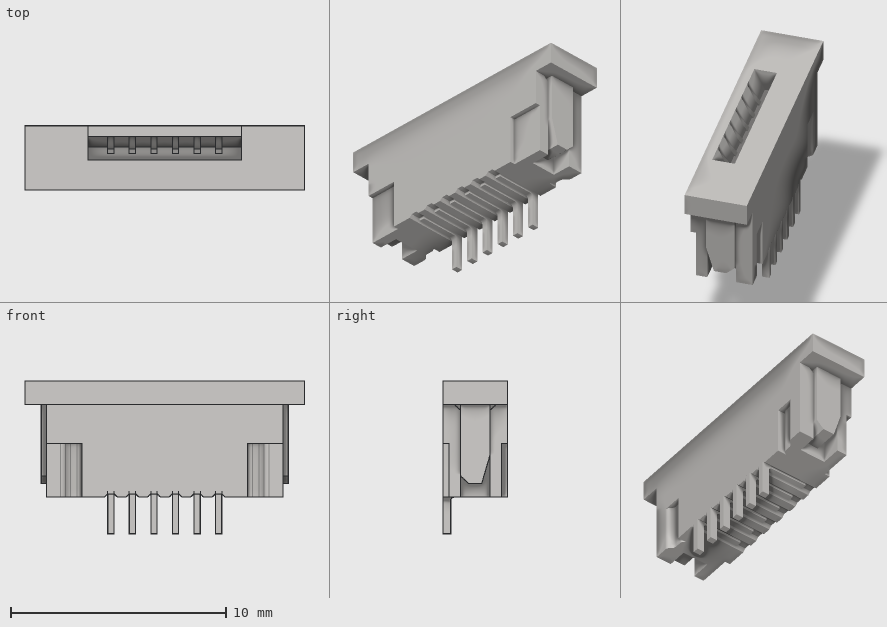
import cadquery as cq
import math


length = 13.0
depth = 3.0
bar_height = 1.1
opening_length = 7.15
opening_front_y = -0.09
arm_outer_x = 5.75
arm_inner_x = 4.5
arm_width = 1.38
arm_tip_z = -4.77
arm_tip_width = 0.6
arm_front_slope_z = -4.41
arm_back_slope_z = -3.43

housing_length = 11.0
housing_bottom_z = -5.4
tongue_front_y = 1.0
tongue_foot_y = 0.5
lead_in = 0.25
lead_in_flare = 0.27
recess_top_z = -2.9
recess_length = 1.66

contact_count = 6
contact_pitch = 1.0
contact_width = 0.3
contact_front_y = 0.21
contact_slope_top_z = -0.42
contact_slope_foot_y = 0.4
tail_bottom_z = -7.1
tail_thickness = 0.36
foot_height = 0.31
bend_inner_radius = 0.17
bend_outer_radius = 0.18
groove_height = 0.14
groove_mouth_width = 0.6

tab_thickness = 0.27
tab_flange_length = 0.66
tab_jog_length = 0.47
tab_end_radius = 0.23

front_y = -depth / 2
back_y = depth / 2
housing_side_x = housing_length / 2
recess_height = recess_top_z - housing_bottom_z
recess_inner_x = housing_side_x - recess_length
contact_xs = [(i - (contact_count - 1) / 2) * contact_pitch for i in range(contact_count)]


def block(x0, x1, y0, y1, z0, z1):
    """Box between two opposite corners."""
    return cq.Workplane("XY").box(x1 - x0, y1 - y0, z1 - z0, centered=False).translate((x0, y0, z0))


def extrude_along_x(outline, x0, x1):
    """Extrude a closed YZ outline from x0 to x1."""
    return outline.extrude(x1 - x0).translate((x0, 0, 0))


def slider_arm():
    """Latch arm of the +X end, with a tapered tip."""
    half_width = arm_width / 2
    half_tip = arm_tip_width / 2
    outline = cq.Workplane("YZ").polyline([
        (-half_width, -bar_height),
        (half_width, -bar_height),
        (half_width, arm_back_slope_z),
        (half_tip, arm_tip_z),
        (-half_tip, arm_tip_z),
        (-half_width, arm_front_slope_z),
    ]).close()
    return extrude_along_x(outline, arm_inner_x, arm_outer_x)


def make_slider():
    """Bar with a cable opening at its back edge and a latch arm under each end."""
    bar = block(-length / 2, length / 2, front_y, back_y, -bar_height, 0)
    opening = block(-opening_length / 2, opening_length / 2, opening_front_y, back_y, -bar_height, 0)
    arm = slider_arm()
    return bar.cut(opening).union(arm).union(arm.mirror("YZ"))


def make_contact(x):
    """Contact blade with a sloping top, a foot along the housing bottom and a bent-down tail."""
    tail_back_y = front_y + tail_thickness
    foot_top_z = housing_bottom_z + foot_height
    diagonal = math.sqrt(0.5)
    inner_bend_y = tail_back_y + bend_inner_radius
    inner_bend_z = housing_bottom_z - bend_inner_radius
    outer_bend_y = front_y + bend_outer_radius
    outer_bend_z = foot_top_z - bend_outer_radius
    outline = (
        cq.Workplane("YZ")
        .moveTo(tongue_front_y, contact_slope_top_z)
        .lineTo(contact_slope_foot_y, -bar_height)
        .lineTo(contact_front_y, -bar_height)
        .lineTo(contact_front_y, foot_top_z)
        .lineTo(outer_bend_y, foot_top_z)
        .threePointArc(
            (outer_bend_y - bend_outer_radius * diagonal, outer_bend_z + bend_outer_radius * diagonal),
            (front_y, outer_bend_z),
        )
        .lineTo(front_y, tail_bottom_z)
        .lineTo(tail_back_y, tail_bottom_z)
        .lineTo(tail_back_y, inner_bend_z)
        .threePointArc(
            (inner_bend_y - bend_inner_radius * diagonal, inner_bend_z + bend_inner_radius * diagonal),
            (inner_bend_y, housing_bottom_z),
        )
        .lineTo(tongue_front_y, housing_bottom_z)
        .close()
    )
    return extrude_along_x(outline, x - contact_width / 2, x + contact_width / 2)


def make_tab():
    """Hold-down tab of the +X end: sheet with an S-shaped jog inward and a rounded inner end."""
    half_jog = (-tab_jog_length / 2, tab_thickness / 2)
    half_jog_back = (tab_jog_length / 2, -tab_thickness / 2)
    jog_x = housing_side_x - tab_flange_length
    round_x = recess_inner_x + tab_end_radius
    inner_front_y = front_y + tab_thickness
    inner_back_y = inner_front_y + tab_thickness
    return (
        cq.Workplane("XY", origin=(0, 0, housing_bottom_z))
        .moveTo(housing_side_x, front_y)
        .lineTo(jog_x, front_y)
        .tangentArcPoint(half_jog)
        .tangentArcPoint(half_jog)
        .lineTo(round_x, inner_front_y)
        .tangentArcPoint((-tab_end_radius, tab_end_radius))
        .lineTo(recess_inner_x, inner_back_y)
        .lineTo(jog_x - tab_jog_length, inner_back_y)
        .tangentArcPoint(half_jog_back)
        .tangentArcPoint(half_jog_back)
        .lineTo(housing_side_x, inner_front_y)
        .close()
        .extrude(recess_height)
    )


def housing_tongue():
    """Cable guide that rises through the slider opening, with a sloping front."""
    outline = cq.Workplane("YZ").polyline([
        (back_y, -bar_height),
        (back_y, 0),
        (tongue_front_y, 0),
        (tongue_foot_y, -bar_height),
    ]).close()
    return extrude_along_x(outline, -opening_length / 2, opening_length / 2)


def arm_slot():
    """Slot of the +X end for the slider arm, with a flared 45 degree lead-in at its top outer edge."""
    half_slot = arm_width / 2
    slot = block(arm_inner_x, housing_side_x, -half_slot, half_slot, housing_bottom_z, -bar_height)
    half_mouth = half_slot + lead_in_flare
    lead_in_z = -bar_height - lead_in
    flare = extrude_along_x(
        cq.Workplane("YZ").polyline([
            (-half_mouth, -bar_height),
            (half_mouth, -bar_height),
            (half_slot, lead_in_z),
            (-half_slot, lead_in_z),
        ]).close(),
        housing_side_x - lead_in,
        housing_side_x,
    )
    edge_wedge = (
        cq.Workplane("XZ")
        .polyline([
            (housing_side_x, -bar_height),
            (housing_side_x, lead_in_z),
            (housing_side_x - lead_in, -bar_height),
        ])
        .close()
        .extrude(half_mouth, both=True)
    )
    return slot.union(flare.intersect(edge_wedge))


def corner_recesses():
    """Front recess around the tab and plain back recess, both at the +X end."""
    shallow_y = front_y + tab_thickness
    deep_y = shallow_y + tab_thickness
    front = block(recess_inner_x, housing_side_x, front_y, shallow_y, housing_bottom_z, recess_top_z)
    round_end = block(
        recess_inner_x, recess_inner_x + tab_end_radius, shallow_y, deep_y, housing_bottom_z, recess_top_z
    )
    back = block(
        recess_inner_x, housing_side_x, back_y - tab_thickness, back_y, housing_bottom_z, recess_top_z
    )
    return front.union(round_end).union(make_tab()).union(back)


def contact_groove(x):
    """Tapered groove across the housing bottom at one contact."""
    groove_top_z = housing_bottom_z + groove_height
    return (
        cq.Workplane("XZ")
        .polyline([
            (x - groove_mouth_width / 2, housing_bottom_z),
            (x - contact_width / 2, groove_top_z),
            (x + contact_width / 2, groove_top_z),
            (x + groove_mouth_width / 2, housing_bottom_z),
        ])
        .close()
        .extrude(depth / 2, both=True)
    )


def contact_slot(x):
    """Slot through the sloping front of the tongue above one contact."""
    half_width = contact_width / 2
    return block(x - half_width, x + half_width, contact_slope_foot_y, tongue_front_y, -bar_height, 0)


def make_housing():
    """Block with tongue, arm slots, corner recesses and a fitted channel for each contact."""
    body = block(-housing_side_x, housing_side_x, front_y, back_y, housing_bottom_z, -bar_height)
    body = body.union(housing_tongue())
    for end_cut in (arm_slot(), corner_recesses()):
        body = body.cut(end_cut).cut(end_cut.mirror("YZ"))
    for x in contact_xs:
        body = body.cut(contact_groove(x)).cut(contact_slot(x)).cut(make_contact(x))
    return body


housing = make_housing()
slider = make_slider()
contacts = [make_contact(x).val() for x in contact_xs]
tabs = [tab.val() for tab in (make_tab(), make_tab().mirror("YZ"))]

result = cq.Compound.makeCompound([housing.solids().val(), slider.solids().val(), *contacts, *tabs])